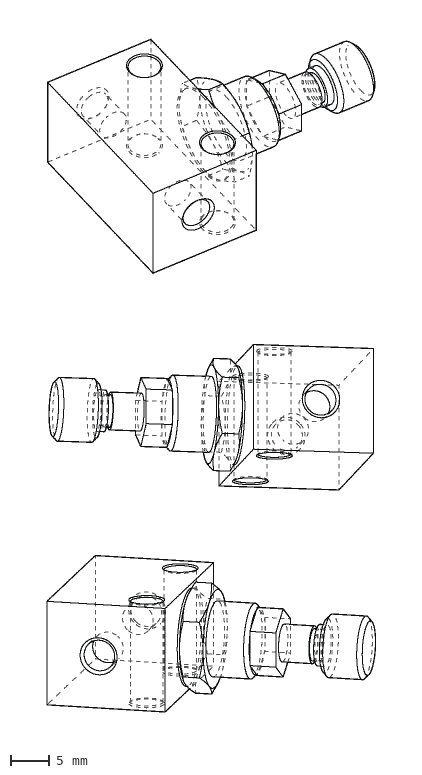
import cadquery as cq
import math

BODY_LENGTH = 26.0
BODY_DEPTH = 16.0
BODY_HEIGHT = 14.0

MOUNT_DIAMETER = 4.3
MOUNT_CHAMFER = 0.2
MOUNT_SPACING = 18.0
MOUNT_Y = 12.5

PORT_DIAMETER = 4.13
PORT_MOUTH_DIAMETER = 5.0
PORT_DEPTH = 5.0
PORT_Y = 7.0

NUT_COLLAR_END = BODY_DEPTH + 0.3
NUT_END = BODY_DEPTH + 3.5
BARREL_END = 25.2
HEX_END = 28.7
STEM_END = 32.8
NECK_END = 33.5
COLLAR_END = 34.5
KNOB_END = 40.3

NUT_FLATS = 13.0
NUT_FACE_DIAMETER = 13.0
NUT_CHAMFER_LENGTH = 0.5
BARREL_DIAMETER = 10.0
BARREL_CHAMFER = 0.6
HEX_FLATS = 8.0
STEM_DIAMETER = 5.0
NECK_DIAMETER = 4.3
COLLAR_DIAMETER = 5.5
KNOB_DIAMETER = 8.4
KNOB_CHAMFER = 0.6


def plane_at(y):
    """Plane across the adjuster axis with its normal along +Y and its x axis along +Z."""
    return cq.Workplane(cq.Plane(origin=(0, y, 0), xDir=(0, 0, 1), normal=(0, 1, 0)))


def cylinder(diameter, start, end):
    """Round bar on the adjuster axis between two stations."""
    return plane_at(start).circle(diameter / 2).extrude(end - start)


def hexagon(across_flats, start, end):
    """Hexagonal prism on the adjuster axis with two corners on the Z axis."""
    across_corners = across_flats / math.cos(math.pi / 6)
    return plane_at(start).polygon(6, across_corners).extrude(end - start)


def make_body():
    """Block with two mounting holes and a port in each end face."""
    body = cq.Workplane("XY").box(BODY_LENGTH, BODY_DEPTH, BODY_HEIGHT, centered=(True, False, True))
    for side in (-1, 1):
        body = body.cut(mount_hole(side * MOUNT_SPACING / 2))
        body = body.cut(port(side))
    return body


def mount_hole(x):
    """Through hole along Z, countersunk at both ends."""
    radius = MOUNT_DIAMETER / 2
    mouth_radius = radius + MOUNT_CHAMFER
    top = BODY_HEIGHT / 2
    shoulder = top - MOUNT_CHAMFER
    profile = [
        (0, -top),
        (mouth_radius, -top),
        (radius, -shoulder),
        (radius, shoulder),
        (mouth_radius, top),
        (0, top),
    ]
    hole = cq.Workplane("XZ").polyline(profile).close().revolve(360, (0, 0, 0), (0, 1, 0))
    return hole.translate((x, MOUNT_Y, 0))


def port(side):
    """Blind hole along X with a countersunk mouth; side is -1 or 1."""
    radius = PORT_DIAMETER / 2
    mouth_radius = PORT_MOUTH_DIAMETER / 2
    countersink = mouth_radius - radius
    face = side * BODY_LENGTH / 2
    profile = [
        (face, 0),
        (face, mouth_radius),
        (face - side * countersink, radius),
        (face - side * PORT_DEPTH, radius),
        (face - side * PORT_DEPTH, 0),
    ]
    hole = cq.Workplane("XY").polyline(profile).close().revolve(360, (0, 0, 0), (1, 0, 0))
    return hole.translate((0, PORT_Y, 0))


def make_nut():
    """Hexagon nut with its corners coned off at both ends, on a thin round collar."""
    face_radius = NUT_FACE_DIAMETER / 2
    corner_radius = NUT_FLATS / 2 / math.cos(math.pi / 6)
    envelope = [
        (0, NUT_COLLAR_END),
        (face_radius, NUT_COLLAR_END),
        (corner_radius, NUT_COLLAR_END + NUT_CHAMFER_LENGTH),
        (corner_radius, NUT_END - NUT_CHAMFER_LENGTH),
        (face_radius, NUT_END),
        (0, NUT_END),
    ]
    cone = cq.Workplane("XY").polyline(envelope).close().revolve(360, (0, 0, 0), (0, 1, 0))
    nut = hexagon(NUT_FLATS, NUT_COLLAR_END, NUT_END).intersect(cone)
    return nut.union(cylinder(NUT_FACE_DIAMETER, BODY_DEPTH, NUT_COLLAR_END))


def make_adjuster():
    """Barrel, hexagon, stem with necked end, collar and knob, stacked along +Y."""
    barrel = cylinder(BARREL_DIAMETER, NUT_END, BARREL_END).faces(">Y").chamfer(BARREL_CHAMFER)
    knob = cylinder(KNOB_DIAMETER, COLLAR_END, KNOB_END).faces("<Y or >Y").chamfer(KNOB_CHAMFER)
    return (
        barrel
        .union(hexagon(HEX_FLATS, BARREL_END, HEX_END))
        .union(cylinder(STEM_DIAMETER, HEX_END, STEM_END))
        .union(cylinder(NECK_DIAMETER, STEM_END, NECK_END))
        .union(cylinder(COLLAR_DIAMETER, NECK_END, COLLAR_END))
        .union(knob)
    )


result = make_body().union(make_nut()).union(make_adjuster())